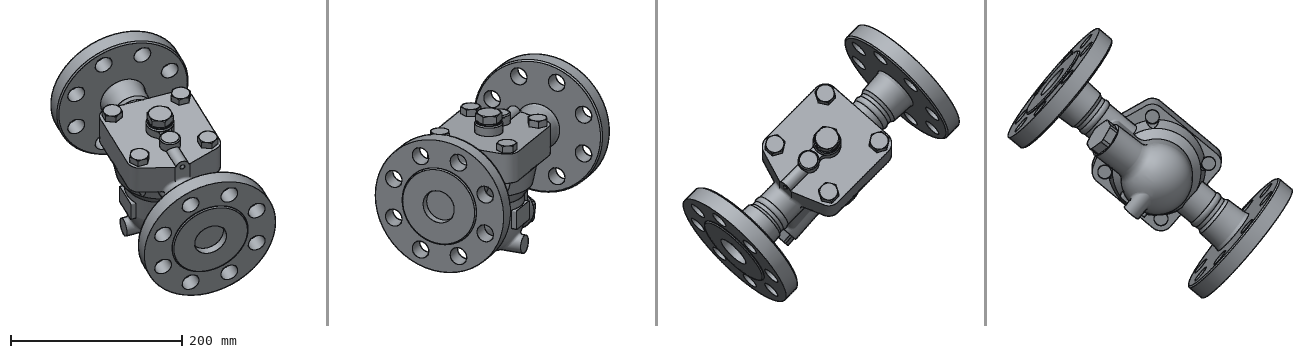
import cadquery as cq
import math

LENGTH = 300.0
FLANGE_DIAMETER = 165.0
FLANGE_THICKNESS = 21.0
FLANGE_CHAMFER = 1.8
RAISED_FACE_DIAMETER = 95.5
RAISED_FACE_HEIGHT = 2.0
RAISED_FACE_CHAMFER = 1.5
FLANGE_HOLE_COUNT = 8
FLANGE_HOLE_DIAMETER = 21.0
FLANGE_HOLE_CIRCLE = 127.2
BORE_DIAMETER = 40.0
BORE_DEPTH = 10.0
PIPE_RADIUS = 22.95

HUB_ROOT_RADIUS = 28.2
HUB_LARGE_RADIUS = 27.0
HUB_SMALL_RADIUS = 25.5
HUB_ROOT_LENGTH = 3.5
HUB_TAPER_LENGTH = 25.5
HUB_STEP_LENGTH = 4.0
WELD_GAP = 4.8
WELD_WIDTH = 7.8
WELD_HEIGHT = 1.2

BODY_X = -10.0
RIM_BOTTOM = 7.2
COVER_SPLIT = 27.0
COVER_TOP = 43.8
BOLT_SPACING = 86.0
COVER_CORNER_RADIUS = 14.7
COVER_NOSE_X = 61.0
COVER_NOSE_HALF_WIDTH = 9.5
PIPE_RIM_FILLET = 3.3

BOLT_FLATS = 21.0
BOLT_HEAD_HEIGHT = 8.7
BOLT_END_RADIUS = 8.0
BOLT_END = 4.5
BOLT_POCKET_RADIUS = 9.0

VENT_BOSS_DIAMETER = 33.0
VENT_BOSS_TOP = 55.8
VENT_COLLAR_DIAMETER = 27.0
VENT_COLLAR_TOP = 57.5
VENT_PLUG_FLATS = 27.0
VENT_PLUG_TOP = 67.8
SIDE_BOSS_X = 21.45
SIDE_BOSS_DIAMETER = 24.3
SIDE_BOSS_TOP = 56.5
BOSS_EDGE_CHAMFER = 1.5
WEB_TOP = 53.7
WEB_FILLET = 7.5
RIDGE_RADIUS = 8.5
RIDGE_AXIS_Z = 41.5
NOSE_TIP_RADIUS = 3.0
NOSE_TIP_LENGTH = 2.7

BOWL_TOP_RADIUS = 57.0
BOWL_RADIUS = 51.5
BOWL_BOTTOM = -19.0
SUMP_TOP = -32.7
SUMP_RADIUS = 41.7
SUMP_CENTER_Z = -62.7

PAD_WIDTH = 36.5
PAD_TOP = -42.5
PAD_BOTTOM = -66.3
PAD_FACE_Y = -43.8
PAD_CORNER_RADIUS = 1.8

DRAIN_Z = -90.5
DRAIN_DIAMETER = 22.0
DRAIN_FACE_Y = -46.0
DRAIN_FILLET = 3.0

BRANCH_ANGLE = 15.0
BRANCH_DIAMETER = 44.0
BRANCH_END = 80.5
BRANCH_FILLET = 15.0
CAP_END = 91.8
CAP_DIAMETER = 40.8
CAP_FLATS = 37.2

PASSAGE_HALF_WIDTH = 16.8
PASSAGE_END_X = 67.2
PASSAGE_CORNER_RADIUS = 6.3
PASSAGE_BLEND_RADIUS = 17.0
PASSAGE_FILLET = 3.0


def cylinder_z(x, y, radius, bottom, top):
    return cq.Workplane("XY", origin=(x, y, bottom)).circle(radius).extrude(top - bottom)


def hex_head(flats, height):
    """Upright hexagonal head on Z = 0 with the corners of its top chamfered."""
    corners = flats / math.cos(math.pi / 6)
    bevel = (corners - flats) / 2
    prism = cq.Workplane("XY").polygon(6, corners).extrude(height)
    envelope = (
        cq.Workplane("XY")
        .circle(corners / 2)
        .extrude(height)
        .faces(">Z")
        .chamfer(bevel * math.tan(math.pi / 6), bevel)
    )
    return prism.intersect(envelope)


def make_pipe_end():
    """Inlet half of the pipe run: flange, weld-neck hub, weld bead and pipe."""
    face = -LENGTH / 2
    flange_front = face + RAISED_FACE_HEIGHT
    flange_back = flange_front + FLANGE_THICKNESS
    hub_start = flange_back + HUB_ROOT_LENGTH
    hub_end = hub_start + HUB_TAPER_LENGTH
    pipe_start = hub_end + HUB_STEP_LENGTH
    weld_start = pipe_start + WELD_GAP
    weld_end = weld_start + WELD_WIDTH
    raised_radius = RAISED_FACE_DIAMETER / 2
    flange_radius = FLANGE_DIAMETER / 2
    profile = (
        cq.Workplane("XY")
        .moveTo(face, 0)
        .lineTo(face, raised_radius - RAISED_FACE_CHAMFER)
        .lineTo(face + RAISED_FACE_CHAMFER, raised_radius)
        .lineTo(flange_front, raised_radius)
        .lineTo(flange_front, flange_radius)
        .lineTo(flange_back - FLANGE_CHAMFER, flange_radius)
        .lineTo(flange_back, flange_radius - FLANGE_CHAMFER)
        .lineTo(flange_back, HUB_ROOT_RADIUS)
        .lineTo(hub_start, HUB_LARGE_RADIUS)
        .lineTo(hub_end, HUB_SMALL_RADIUS)
        .lineTo(pipe_start, PIPE_RADIUS)
        .lineTo(weld_start, PIPE_RADIUS)
        .threePointArc(
            ((weld_start + weld_end) / 2, PIPE_RADIUS + WELD_HEIGHT), (weld_end, PIPE_RADIUS)
        )
        .lineTo(0, PIPE_RADIUS)
        .lineTo(0, 0)
        .close()
    )
    pipe_end = profile.revolve(360, (0, 0, 0), (1, 0, 0))
    holes = (
        cq.Workplane("YZ", origin=(face, 0, 0))
        .polarArray(FLANGE_HOLE_CIRCLE / 2, 180 / FLANGE_HOLE_COUNT, 360, FLANGE_HOLE_COUNT)
        .circle(FLANGE_HOLE_DIAMETER / 2)
        .extrude(flange_back - face)
    )
    bore = cq.Workplane("YZ", origin=(face, 0, 0)).circle(BORE_DIAMETER / 2).extrude(BORE_DEPTH)
    return pipe_end.cut(holes).cut(bore)


def cover_plate(bottom, top):
    """Plate with three straight sides and a blunt nose toward +X."""
    left = BODY_X - BOLT_SPACING / 2 - COVER_CORNER_RADIUS
    bolt_x = BODY_X + BOLT_SPACING / 2
    bolt_y = BOLT_SPACING / 2
    half_width = bolt_y + COVER_CORNER_RADIUS
    run = COVER_NOSE_X - bolt_x
    drop = COVER_NOSE_HALF_WIDTH - bolt_y
    tangent_angle = math.atan2(drop, run) + math.acos(COVER_CORNER_RADIUS / math.hypot(run, drop))
    slant_x = bolt_x + COVER_CORNER_RADIUS * math.cos(tangent_angle)
    slant_y = bolt_y + COVER_CORNER_RADIUS * math.sin(tangent_angle)
    middle_angle = (tangent_angle + math.pi / 2) / 2
    middle_x = bolt_x + COVER_CORNER_RADIUS * math.cos(middle_angle)
    middle_y = bolt_y + COVER_CORNER_RADIUS * math.sin(middle_angle)
    outline = (
        cq.Workplane("XY", origin=(0, 0, bottom))
        .moveTo(left, -half_width)
        .lineTo(bolt_x, -half_width)
        .threePointArc((middle_x, -middle_y), (slant_x, -slant_y))
        .lineTo(COVER_NOSE_X, -COVER_NOSE_HALF_WIDTH)
        .lineTo(COVER_NOSE_X, COVER_NOSE_HALF_WIDTH)
        .lineTo(slant_x, slant_y)
        .threePointArc((middle_x, middle_y), (bolt_x, half_width))
        .lineTo(left, half_width)
        .close()
    )
    return outline.extrude(top - bottom).edges("|Z and <X").fillet(COVER_CORNER_RADIUS)


def make_pipe(start, end):
    return cq.Workplane("YZ", origin=(start, 0, 0)).circle(PIPE_RADIUS).extrude(end - start)


def make_rim():
    """Body rim with fillets where the pipe enters its sides."""
    pipe_end = LENGTH / 4
    blended = cover_plate(-2 * PIPE_RADIUS, COVER_SPLIT).union(make_pipe(-pipe_end, pipe_end))
    seam_zone = cq.selectors.BoxSelector(
        (3 - pipe_end, -PIPE_RADIUS - 3, -PIPE_RADIUS - 3), (pipe_end - 3, PIPE_RADIUS + 3, PIPE_RADIUS + 3)
    )
    blended = blended.edges(seam_zone).edges("not %LINE").fillet(PIPE_RIM_FILLET)
    below_rim = cq.Workplane("XY", origin=(0, 0, RIM_BOTTOM)).rect(LENGTH, LENGTH).extrude(-LENGTH)
    return blended.cut(below_rim)


def bolt_positions():
    half = BOLT_SPACING / 2
    return [(BODY_X + i * half, j * half) for i in (-1, 1) for j in (-1, 1)]


def make_bolts():
    """Cover bolt heads, each turned a quarter from its neighbours."""
    head = hex_head(BOLT_FLATS, BOLT_HEAD_HEIGHT)
    bolts = cq.Workplane("XY")
    for x, y in bolt_positions():
        turn = 90 if (x - BODY_X) * y < 0 else 0
        bolts = bolts.union(head.rotate((0, 0, 0), (0, 0, 1), turn).translate((x, y, COVER_TOP)))
    return bolts


def make_bolt_ends():
    """Lower ends of the cover bolts, standing just proud of the rim."""
    ends = cq.Workplane("XY")
    for x, y in bolt_positions():
        ends = ends.union(cylinder_z(x, y, BOLT_END_RADIUS, BOLT_END, COVER_SPLIT))
    return ends


def make_vent():
    """Round boss, collar and hexagonal vent plug."""
    boss = cylinder_z(BODY_X, 0, VENT_BOSS_DIAMETER / 2, COVER_SPLIT, VENT_BOSS_TOP)
    collar = cylinder_z(BODY_X, 0, VENT_COLLAR_DIAMETER / 2, COVER_SPLIT, VENT_COLLAR_TOP)
    plug = hex_head(VENT_PLUG_FLATS, VENT_PLUG_TOP - VENT_COLLAR_TOP)
    return (
        boss.faces(">Z").chamfer(BOSS_EDGE_CHAMFER)
        .union(collar)
        .union(plug.translate((BODY_X, 0, VENT_COLLAR_TOP)))
    )


def make_side_boss():
    """Side boss with the waisted web that joins it to the vent boss."""
    boss_radius = SIDE_BOSS_DIAMETER / 2
    vent_radius = VENT_BOSS_DIAMETER / 2
    spacing = SIDE_BOSS_X - BODY_X
    vent_reach = vent_radius + WEB_FILLET
    boss_reach = boss_radius + WEB_FILLET
    offset_x = (spacing**2 + vent_reach**2 - boss_reach**2) / (2 * spacing)
    waist_x = BODY_X + offset_x
    waist_y = math.sqrt(vent_reach**2 - offset_x**2)
    vent_x = BODY_X + offset_x * vent_radius / vent_reach
    vent_y = waist_y * vent_radius / vent_reach
    boss_x = SIDE_BOSS_X + (waist_x - SIDE_BOSS_X) * boss_radius / boss_reach
    boss_y = waist_y * boss_radius / boss_reach
    web = (
        cq.Workplane("XY", origin=(0, 0, COVER_SPLIT))
        .moveTo(vent_x, -vent_y)
        .threePointArc((waist_x, WEB_FILLET - waist_y), (boss_x, -boss_y))
        .lineTo(SIDE_BOSS_X, 0)
        .lineTo(boss_x, boss_y)
        .threePointArc((waist_x, waist_y - WEB_FILLET), (vent_x, vent_y))
        .lineTo(BODY_X, 0)
        .close()
        .extrude(WEB_TOP - COVER_SPLIT)
    )
    boss = cylinder_z(SIDE_BOSS_X, 0, boss_radius, COVER_SPLIT, SIDE_BOSS_TOP)
    return boss.faces(">Z").chamfer(BOSS_EDGE_CHAMFER).union(web)


def make_ridge():
    """Round ridge from the side boss to the nose of the cover, ending in a small conical tip."""
    ridge = (
        cq.Workplane("YZ", origin=(SIDE_BOSS_X, 0, RIDGE_AXIS_Z))
        .circle(RIDGE_RADIUS)
        .extrude(COVER_NOSE_X - SIDE_BOSS_X)
    )
    tip_base = cq.Vector(COVER_NOSE_X, 0, RIDGE_AXIS_Z)
    tip = cq.Solid.makeCone(NOSE_TIP_RADIUS, 0, NOSE_TIP_LENGTH, tip_base, cq.Vector(1, 0, 0))
    return ridge.union(cq.Workplane(tip))


def make_bowl():
    """Revolved body: bowl with bolt pockets, cone, and a cylindrical sump with a spherical bottom."""
    diagonal = SUMP_RADIUS * math.sqrt(0.5)
    profile = (
        cq.Workplane("XZ", origin=(BODY_X, 0, 0))
        .moveTo(0, COVER_SPLIT)
        .lineTo(BOWL_TOP_RADIUS, COVER_SPLIT)
        .lineTo(BOWL_TOP_RADIUS, RIM_BOTTOM)
        .lineTo(BOWL_RADIUS, BOWL_BOTTOM)
        .lineTo(SUMP_RADIUS, SUMP_TOP)
        .lineTo(SUMP_RADIUS, SUMP_CENTER_Z)
        .threePointArc((diagonal, SUMP_CENTER_Z - diagonal), (0, SUMP_CENTER_Z - SUMP_RADIUS))
        .close()
    )
    bowl = profile.revolve(360, (0, 0, 0), (0, 1, 0))
    for x, y in bolt_positions():
        bowl = bowl.cut(cylinder_z(x, y, BOLT_POCKET_RADIUS, SUMP_TOP, RIM_BOTTOM))
    return bowl


def make_pad():
    return (
        cq.Workplane("XZ", origin=(BODY_X, PAD_FACE_Y, (PAD_TOP + PAD_BOTTOM) / 2))
        .rect(PAD_WIDTH, PAD_TOP - PAD_BOTTOM)
        .extrude(PAD_FACE_Y)
        .edges("|Y")
        .fillet(PAD_CORNER_RADIUS)
    )


def make_drain():
    """Drain boss with a filleted foot on the spherical bottom of the sump."""
    boss = (
        cq.Workplane("XZ", origin=(BODY_X, 0, DRAIN_Z))
        .circle(DRAIN_DIAMETER / 2)
        .extrude(-DRAIN_FACE_Y)
    )
    sphere = cq.Workplane("XY", origin=(BODY_X, 0, SUMP_CENTER_Z)).sphere(SUMP_RADIUS)
    drain_radius = DRAIN_DIAMETER / 2 + 1.5
    foot_zone = cq.selectors.BoxSelector(
        (BODY_X - drain_radius, DRAIN_FACE_Y + 3, DRAIN_Z - drain_radius),
        (BODY_X + drain_radius, -3, DRAIN_Z + drain_radius),
    )
    return sphere.union(boss).edges(foot_zone).fillet(DRAIN_FILLET)


def on_branch_axis(shape):
    """Move a shape built along +Z from the origin onto the branch axis."""
    return shape.rotate((0, 0, 0), (0, 1, 0), 90 + BRANCH_ANGLE).translate((BODY_X, 0, SUMP_CENTER_Z))


def make_branch():
    return on_branch_axis(cylinder_z(0, 0, BRANCH_DIAMETER / 2, 0, BRANCH_END))


def make_branch_flare():
    """Revolved fillet between the branch and the spherical bottom of the sump."""
    radius = BRANCH_DIAMETER / 2
    reach = SUMP_RADIUS + BRANCH_FILLET
    center_r = radius + BRANCH_FILLET
    center_z = math.sqrt(reach**2 - center_r**2)
    sphere_r = center_r * SUMP_RADIUS / reach
    sphere_z = center_z * SUMP_RADIUS / reach
    middle_angle = (math.pi + math.atan2(sphere_z - center_z, sphere_r - center_r) % (2 * math.pi)) / 2
    middle = (
        center_r + BRANCH_FILLET * math.cos(middle_angle), center_z + BRANCH_FILLET * math.sin(middle_angle)
    )
    profile = (
        cq.Workplane("XZ")
        .lineTo(sphere_r, sphere_z)
        .threePointArc(middle, (radius, center_z))
        .lineTo(0, center_z)
        .close()
    )
    return on_branch_axis(profile.revolve(360, (0, 0, 0), (0, 1, 0)))


def make_cap():
    """Hexagonal strainer cap with its corners turned down to a cylinder."""
    corners = CAP_FLATS / math.cos(math.pi / 6)
    height = CAP_END - BRANCH_END
    cap = cq.Workplane("XY", origin=(0, 0, BRANCH_END)).polygon(6, corners).extrude(height)
    return on_branch_axis(cap.intersect(cylinder_z(0, 0, CAP_DIAMETER / 2, BRANCH_END, CAP_END)))


def above_branch_axis(shape):
    """Keep the part of an upright shape that stands above the branch axis."""
    half_space = cq.Workplane("XY").box(2 * LENGTH, LENGTH, LENGTH, centered=(True, True, False))
    half_space = half_space.rotate((0, 0, 0), (0, 1, 0), BRANCH_ANGLE)
    return shape.intersect(half_space.translate((BODY_X, 0, SUMP_CENTER_Z)))


def make_passage():
    """Upright block from the branch to the pipe, filleted where it meets both."""
    length = PASSAGE_END_X - BODY_X
    block = (
        cq.Workplane("XY", origin=(BODY_X + length / 2, 0, 0))
        .rect(length, 2 * PASSAGE_HALF_WIDTH)
        .extrude(2 * SUMP_CENTER_Z)
        .edges("|Z and >X")
        .fillet(PASSAGE_CORNER_RADIUS)
    )
    joined = above_branch_axis(block).union(make_pipe(BODY_X, LENGTH / 3)).union(make_branch())
    overhang = 3
    zone_bottom = SUMP_CENTER_Z - BRANCH_DIAMETER / 4
    joint_zone = cq.selectors.BoxSelector(
        (BODY_X + overhang, -PASSAGE_HALF_WIDTH - overhang, zone_bottom),
        (PASSAGE_END_X + overhang, PASSAGE_HALF_WIDTH + overhang, -overhang),
    )
    return joined.edges(joint_zone).edges("not |Z").fillet(PASSAGE_FILLET)


def make_passage_blend():
    """Tangent arcs that carry the sides of the passage into the cylindrical sump."""
    reach = SUMP_RADIUS + PASSAGE_BLEND_RADIUS
    blend_y = PASSAGE_HALF_WIDTH + PASSAGE_BLEND_RADIUS
    blend_x = BODY_X + math.sqrt(reach**2 - blend_y**2)
    sump_x = BODY_X + (blend_x - BODY_X) * SUMP_RADIUS / reach
    sump_y = blend_y * SUMP_RADIUS / reach
    middle_angle = (math.atan2(sump_y - blend_y, sump_x - blend_x) - math.pi / 2) / 2
    middle_x = blend_x + PASSAGE_BLEND_RADIUS * math.cos(middle_angle)
    middle_y = blend_y + PASSAGE_BLEND_RADIUS * math.sin(middle_angle)
    blend = (
        cq.Workplane("XY")
        .moveTo(BODY_X, 0)
        .lineTo(sump_x, -sump_y)
        .threePointArc((middle_x, -middle_y), (blend_x, -PASSAGE_HALF_WIDTH))
        .lineTo(blend_x, PASSAGE_HALF_WIDTH)
        .threePointArc((middle_x, middle_y), (sump_x, sump_y))
        .close()
        .extrude(2 * SUMP_CENTER_Z)
    )
    return above_branch_axis(blend)


inlet = make_pipe_end()
outlet = inlet.mirror("YZ")
result = inlet.union(outlet)
for piece in (
    make_rim(),
    cover_plate(COVER_SPLIT, COVER_TOP),
    make_vent(),
    make_side_boss(),
    make_ridge(),
    make_bolts(),
    make_bolt_ends(),
    make_bowl(),
    make_pad(),
    make_drain(),
    make_passage(),
    make_passage_blend(),
    make_branch_flare(),
    make_cap(),
):
    result = result.union(piece)